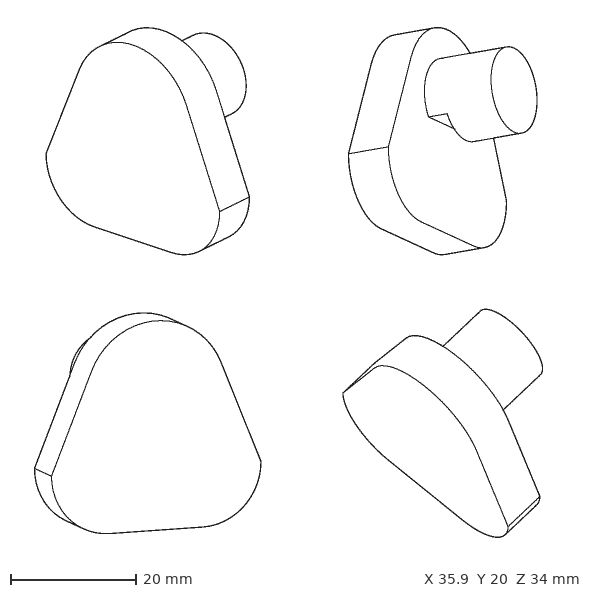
import cadquery as cq
import math

plate_width = 35.92
plate_height = 34.0
plate_thickness = 7.5
top_radius = 12.0
corner_radius = 10.0

stem_diameter = 14.0
stem_length = 12.5

notch_length = 3.5
notch_depth = 3.0

half_width = plate_width / 2
bottom_z = top_radius - plate_height
corner_z = bottom_z + corner_radius
corner_x = half_width - corner_radius

distance_to_side_end = math.hypot(half_width, corner_z)
tangent_angle = math.atan2(corner_z, half_width) + math.acos(top_radius / distance_to_side_end)
tangent_x = top_radius * math.cos(tangent_angle)
tangent_z = top_radius * math.sin(tangent_angle)

corner_mid_offset = corner_radius * math.sqrt(0.5)
corner_mid_x = corner_x + corner_mid_offset
corner_mid_z = corner_z - corner_mid_offset


def make_plate():
    """Plate with its back face on the XZ plane, extending toward -Y."""
    return (
        cq.Workplane("XZ")
        .moveTo(-tangent_x, tangent_z)
        .threePointArc((0, top_radius), (tangent_x, tangent_z))
        .lineTo(half_width, corner_z)
        .threePointArc((corner_mid_x, corner_mid_z), (corner_x, bottom_z))
        .lineTo(-corner_x, bottom_z)
        .threePointArc((-corner_mid_x, corner_mid_z), (-half_width, corner_z))
        .close()
        .extrude(plate_thickness)
    )


def make_stem():
    """Stem extending toward +Y, with the notch cut from its underside."""
    stem = cq.Workplane("XZ").circle(stem_diameter / 2).extrude(-stem_length)
    notch = (
        cq.Workplane("XY")
        .box(stem_diameter, notch_length, notch_depth, centered=(True, False, False))
        .translate((0, 0, -stem_diameter / 2))
    )
    return stem.cut(notch)


result = make_plate().union(make_stem())